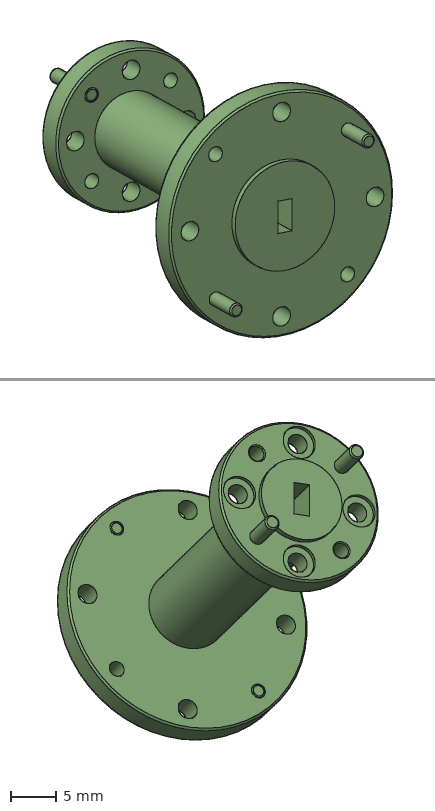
import cadquery as cq
import math

overall_length = 45.85

flange_thickness = 3.3
flange_chamfer = 0.25
boss_height = 0.75

small_flange_diameter = 19.0
small_flange_face = 4.65
small_boss_diameter = 9.6
small_hole_circle_radius = 7.1

large_flange_diameter = 28.55
large_flange_face = 37.85
large_boss_diameter = 12.7
large_hole_circle_radius = 11.9
near_bolt_hole_radius = 11.7

tube_diameter = 9.25
bore_width = 1.85
bore_height = 3.75

bolt_hole_diameter = 2.25
recess_diameter = 3.8
recess_depth = 0.5

dowel_hole_diameter = 1.75
countersink_size = 0.15

small_pin_diameter = 1.7
large_pin_diameter = 1.6
pin_chamfer = 0.2

small_flange_back = small_flange_face + flange_thickness
large_flange_back = large_flange_face + flange_thickness
small_boss_face = small_flange_face - boss_height
large_boss_face = large_flange_back + boss_height

BOLT_ANGLES = (0, 90, 180, 270)
NEAR_BOLT_ANGLE = 180
FIRST_DIAGONAL = (45, 225)
SECOND_DIAGONAL = (135, 315)


def rod(diameter, x_start, x_end):
    """Cylinder on the X axis."""
    return cq.Workplane("YZ", origin=(x_start, 0, 0)).circle(diameter / 2).extrude(x_end - x_start)


def around_circle(shape, radius, angles):
    """Copies of an on-axis shape, moved out to a hole circle."""
    copies = []
    for angle in angles:
        y = radius * math.cos(math.radians(angle))
        z = radius * math.sin(math.radians(angle))
        copies.append(shape.translate((0, y, z)))
    return copies


def flange(diameter, x_face):
    return rod(diameter, x_face, x_face + flange_thickness).edges().chamfer(flange_chamfer)


def waveguide_bore():
    return (
        cq.Workplane("YZ", origin=(small_boss_face, 0, 0))
        .rect(bore_width, bore_height)
        .extrude(large_boss_face - small_boss_face)
    )


def countersunk_hole():
    """Cutter for an open dowel hole through the small flange."""
    hole = rod(dowel_hole_diameter, small_flange_face, small_flange_back)
    cone = cq.Solid.makeCone(
        dowel_hole_diameter / 2 + countersink_size,
        dowel_hole_diameter / 2,
        countersink_size,
        pnt=cq.Vector(small_flange_face, 0, 0),
        dir=cq.Vector(1, 0, 0),
    )
    return hole.union(cq.Workplane(cone))


def small_flange_cutters():
    bolt_hole = rod(bolt_hole_diameter, small_flange_face, small_flange_back)
    recess = rod(recess_diameter, small_flange_face, small_flange_face + recess_depth)
    pin_hole = rod(small_pin_diameter, small_flange_face, small_flange_back)
    return [
        *around_circle(bolt_hole.union(recess), small_hole_circle_radius, BOLT_ANGLES),
        *around_circle(countersunk_hole(), small_hole_circle_radius, FIRST_DIAGONAL),
        *around_circle(pin_hole, small_hole_circle_radius, SECOND_DIAGONAL),
    ]


def large_flange_cutters():
    """Cutters for the large flange, whose -Y bolt hole sits slightly closer to the axis."""
    on_circle_angles = [angle for angle in BOLT_ANGLES if angle != NEAR_BOLT_ANGLE]
    bolt_hole = rod(bolt_hole_diameter, large_flange_face, large_flange_back)
    dowel_hole = rod(dowel_hole_diameter, large_flange_face, large_flange_back)
    pin_hole = rod(large_pin_diameter, large_flange_face, large_flange_back)
    return [
        *around_circle(bolt_hole, large_hole_circle_radius, on_circle_angles),
        *around_circle(bolt_hole, near_bolt_hole_radius, [NEAR_BOLT_ANGLE]),
        *around_circle(dowel_hole, large_hole_circle_radius, SECOND_DIAGONAL),
        *around_circle(pin_hole, large_hole_circle_radius, FIRST_DIAGONAL),
    ]


def make_housing():
    """Tube with a flange and a raised boss at each end."""
    body = rod(tube_diameter, small_flange_face, large_flange_back)
    body = body.union(flange(small_flange_diameter, small_flange_face))
    body = body.union(flange(large_flange_diameter, large_flange_face))
    body = body.union(rod(small_boss_diameter, small_boss_face, small_flange_face))
    body = body.union(rod(large_boss_diameter, large_flange_back, large_boss_face))
    for cutter in [waveguide_bore(), *small_flange_cutters(), *large_flange_cutters()]:
        body = body.cut(cutter)
    return body


def make_pins(diameter, x_start, x_end, radius, angles):
    """Dowel pins with both ends chamfered."""
    pin = rod(diameter, x_start, x_end).edges().chamfer(pin_chamfer)
    return around_circle(pin, radius, angles)


housing = make_housing()

small_pins = make_pins(
    small_pin_diameter, 0, small_flange_back, small_hole_circle_radius, SECOND_DIAGONAL
)
large_pins = make_pins(
    large_pin_diameter, large_flange_face, overall_length, large_hole_circle_radius, FIRST_DIAGONAL
)

result = cq.Compound.makeCompound(
    [housing.val(), *[pin.val() for pin in small_pins + large_pins]]
)